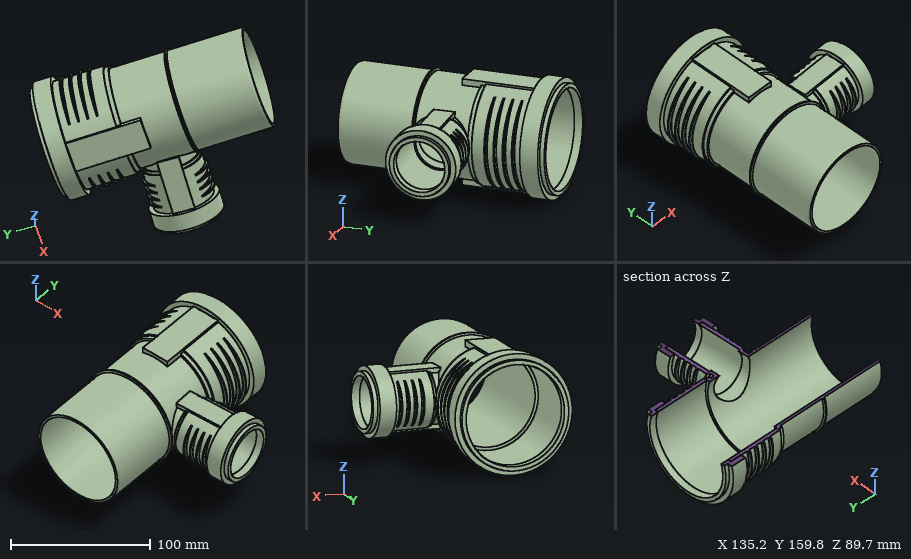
import cadquery as cq


WALL = 2.5
SOCKET_WALL = 3.2
RIB_COUNT = 4
RIDGE_TIP = 1.0
RIDGE_BASE = 2.2
RIDGE_HEIGHT = 1.6

RUN_LENGTH = 159.8
PIPE_RADIUS = 37.7
SPIGOT_CHAMFER_LENGTH = 2.0
SPIGOT_CHAMFER_DEPTH = 0.6
STOP_RING_Y = 57.9
JUNCTION_Y = 78.3
NECK_RADIUS = 39.5
NECK_START = 100.5
SOCKET_RADIUS = 40.8
SOCKET_START = 104.0
PAD_WIDTH = 23.0
PAD_START = 85.8
RIB_START = 115.0
RIB_PITCH = 7.0
RIB_OFFSET = 4.5
RIB_RADIUS = 38.5
CAP_RADIUS = 89.7 / 2
CAP_START = 142.6
CAP_SHOULDER = 156.3
CAP_END_WALL = 6.4

BRANCH_ANGLE = 87.5
BRANCH_LENGTH = 89.5
BRANCH_PIPE_RADIUS = 20.6
BRANCH_NECK_RADIUS = 21.5
BRANCH_NECK_START = 39.8
BRANCH_SOCKET_RADIUS = 22.5
BRANCH_SOCKET_START = 42.2
BRANCH_PAD_WIDTH = 16.3
BRANCH_PAD_START = 31.5
BRANCH_RIB_START = 50.8
BRANCH_RIB_PITCH = 5.8
BRANCH_RIB_OFFSET = 4.8
BRANCH_RIB_RADIUS = 19.7
BRANCH_CAP_RADIUS = 26.5
BRANCH_CAP_START = 73.2
BRANCH_CAP_SHOULDER = 86.0


def cylinder(radius, start, end):
    """Solid cylinder on the Y axis between two Y positions."""
    return cq.Workplane("XZ", origin=(0, start, 0)).circle(radius).extrude(start - end)


def ridge_disc(crest_radius, position):
    """Disc on the Y axis whose rim is a ridge with sloping flanks."""
    foot_radius = crest_radius - RIDGE_HEIGHT
    half_base = RIDGE_BASE / 2
    half_tip = RIDGE_TIP / 2
    profile = [
        (0, position - half_base),
        (foot_radius, position - half_base),
        (crest_radius, position - half_tip),
        (crest_radius, position + half_tip),
        (foot_radius, position + half_base),
        (0, position + half_base),
    ]
    return cq.Workplane("XY").polyline(profile).close().revolve(360, (0, 0), (0, 1))


def flat_pads(width, height, start, end):
    """Flat-faced block whose top and bottom form the pads on an arm."""
    return cq.Workplane("XY").box(width, end - start, height).translate((0, (start + end) / 2, 0))


def grip_ribs(radius, offset, first, pitch):
    """Discs shifted to both sides, leaving crescent ribs proud of the socket."""
    ribs = cq.Workplane("XY")
    for index in range(RIB_COUNT):
        disc = ridge_disc(radius, first + index * pitch)
        for side in (-1, 1):
            ribs = ribs.union(disc.translate((side * offset, 0, 0)))
    return ribs


def cap(outer_radius, socket_radius, start, shoulder, end):
    """Retaining cap: a collar around the socket with a narrower lip beyond its end."""
    body = cylinder(outer_radius, start, shoulder).union(cylinder(socket_radius, shoulder, end))
    body = body.cut(cylinder(socket_radius, start, end - CAP_END_WALL))
    return body.cut(cylinder(socket_radius - SOCKET_WALL, start, end))


def place_on_branch(shape):
    """Turn a shape built along +Y onto the branch axis at the junction."""
    return shape.rotate((0, 0, 0), (0, 0, 1), -BRANCH_ANGLE).translate((0, JUNCTION_Y, 0))


def run_outside():
    """Solid run: spigot, stop ring, neck, socket, pads and ribs."""
    tip_radius = PIPE_RADIUS - SPIGOT_CHAMFER_DEPTH
    spigot_profile = [
        (0, 0),
        (tip_radius, 0),
        (PIPE_RADIUS, SPIGOT_CHAMFER_LENGTH),
        (PIPE_RADIUS, NECK_START),
        (0, NECK_START),
    ]
    spigot = cq.Workplane("XY").polyline(spigot_profile).close().revolve(360, (0, 0), (0, 1))
    socket_end = RUN_LENGTH - CAP_END_WALL
    return (
        spigot
        .union(ridge_disc(PIPE_RADIUS + RIDGE_HEIGHT, STOP_RING_Y))
        .union(cylinder(NECK_RADIUS, NECK_START, SOCKET_START))
        .union(cylinder(SOCKET_RADIUS, SOCKET_START, socket_end))
        .union(flat_pads(PAD_WIDTH, 2 * SOCKET_RADIUS, PAD_START, CAP_START))
        .union(grip_ribs(RIB_RADIUS, RIB_OFFSET, RIB_START, RIB_PITCH))
    )


def run_bore():
    """Space inside the run, wider within the socket."""
    pipe_bore = cylinder(PIPE_RADIUS - WALL, 0, RUN_LENGTH)
    return pipe_bore.union(cylinder(SOCKET_RADIUS - SOCKET_WALL, SOCKET_START, RUN_LENGTH))


def branch_outside():
    """Solid branch: pipe, neck, socket, pads and ribs."""
    socket_end = BRANCH_LENGTH - CAP_END_WALL
    outside = (
        cylinder(BRANCH_PIPE_RADIUS, 0, BRANCH_NECK_START)
        .union(cylinder(BRANCH_NECK_RADIUS, BRANCH_NECK_START, BRANCH_SOCKET_START))
        .union(cylinder(BRANCH_SOCKET_RADIUS, BRANCH_SOCKET_START, socket_end))
        .union(flat_pads(BRANCH_PAD_WIDTH, 2 * BRANCH_SOCKET_RADIUS, BRANCH_PAD_START, BRANCH_CAP_START))
        .union(grip_ribs(BRANCH_RIB_RADIUS, BRANCH_RIB_OFFSET, BRANCH_RIB_START, BRANCH_RIB_PITCH))
    )
    return place_on_branch(outside)


def branch_bore():
    """Space inside the branch, wider within the socket."""
    pipe_bore = cylinder(BRANCH_PIPE_RADIUS - WALL, 0, BRANCH_LENGTH)
    socket_bore_radius = BRANCH_SOCKET_RADIUS - SOCKET_WALL
    return place_on_branch(
        pipe_bore.union(cylinder(socket_bore_radius, BRANCH_SOCKET_START, BRANCH_LENGTH))
    )


tee = run_outside().union(branch_outside()).cut(run_bore()).cut(branch_bore())
run_cap = cap(CAP_RADIUS, SOCKET_RADIUS, CAP_START, CAP_SHOULDER, RUN_LENGTH)
branch_cap = place_on_branch(
    cap(BRANCH_CAP_RADIUS, BRANCH_SOCKET_RADIUS, BRANCH_CAP_START, BRANCH_CAP_SHOULDER, BRANCH_LENGTH)
)

result = cq.Compound.makeCompound([tee.val(), run_cap.val(), branch_cap.val()])